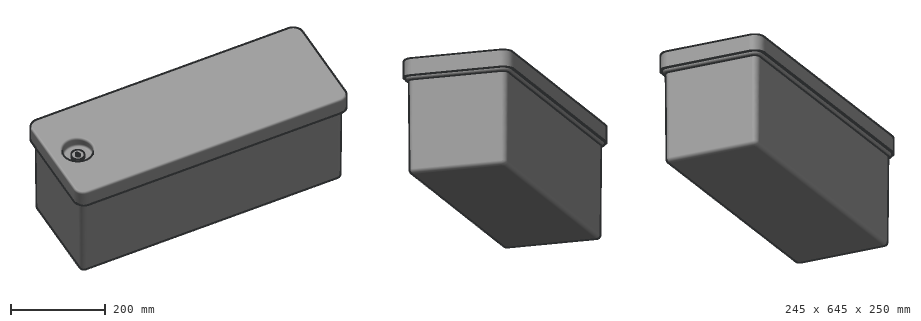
import cadquery as cq
width = 245.0
length = 645.0
height = 250.0

draft_angle = 0.5

lid_height = 39.0
lid_corner_radius = 24.0
lid_edge_radius = 5.0

flange_inset = 4.0
flange_height = 7.0
flange_edge_radius = 6.0

body_width = 222.5
body_floor_radius = 9.0

lock_y = -262.5
recess_diameter = 65.0
recess_depth = 20.5
recess_rim_radius = 5.0
recess_floor_radius = 4.5

lock_diameter = 28.5
lock_height = 6.0
keyway_diameter = 9.5
keyway_depth = 2.5
key_slot_length = 13.5
key_slot_width = 5.0
key_slot_depth = 5.0

body_inset = (width - body_width) / 2
lid_bottom = height - lid_height
flange_bottom = lid_bottom - flange_height
recess_floor = height - recess_depth


def rounded_outline(inset, z):
    """Rounded rectangle lying inside the lid outline, with concentric corners."""
    return (
        cq.Workplane("XY", origin=(0, 0, z))
        .sketch()
        .rect(width - 2 * inset, length - 2 * inset)
        .vertices()
        .fillet(lid_corner_radius - inset)
        .finalize()
    )


def make_lid():
    lid = rounded_outline(0, lid_bottom).extrude(lid_height, taper=draft_angle)
    return lid.faces(">Z").edges().fillet(lid_edge_radius)


def make_flange():
    flange = rounded_outline(flange_inset, flange_bottom).extrude(flange_height)
    return flange.faces("<Z").edges().fillet(flange_edge_radius)


def make_body():
    body = rounded_outline(body_inset, lid_bottom).extrude(-lid_bottom, taper=draft_angle)
    return body.faces("<Z").edges().fillet(body_floor_radius)


def lock_plane(z):
    return cq.Workplane("XY", origin=(0, lock_y, z))


def cut_recess(part):
    pocket = lock_plane(recess_floor).circle(recess_diameter / 2).extrude(recess_depth)
    pocket = pocket.faces("<Z").edges().fillet(recess_floor_radius)
    rim_selector = cq.selectors.BoxSelector(
        (-recess_diameter, lock_y - recess_diameter, height - recess_rim_radius / 2),
        (recess_diameter, lock_y + recess_diameter, height + recess_rim_radius / 2),
    )
    return part.cut(pocket).edges(rim_selector).edges("%CIRCLE").fillet(recess_rim_radius)


def make_lock():
    lock_top = recess_floor + lock_height
    lock = lock_plane(recess_floor).circle(lock_diameter / 2).extrude(lock_height)
    keyway = lock_plane(lock_top).circle(keyway_diameter / 2).extrude(-keyway_depth)
    key_slot = lock_plane(lock_top).slot2D(key_slot_length, key_slot_width).extrude(-key_slot_depth)
    return lock.cut(keyway).cut(key_slot)


case = make_lid().union(make_flange()).union(make_body())
result = cut_recess(case).union(make_lock())